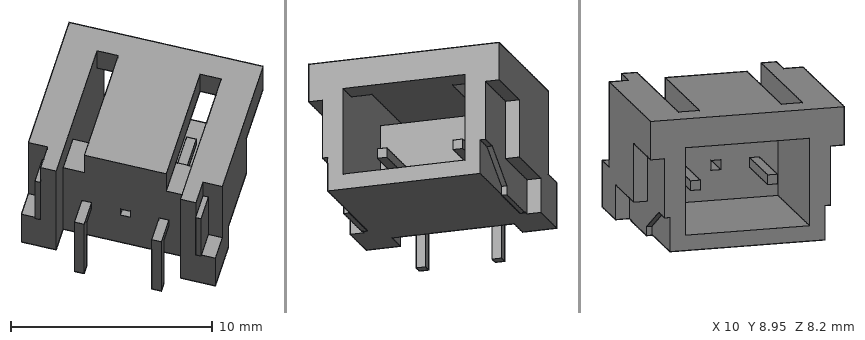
import cadquery as cq


width = 10.0
depth = 8.88
height = 6.8
wing_depth = 1.3
wing_inner_x = 3.2
front_wall = 1.8
floor_thickness = 0.8

slot_inner_x = 2.11
slot_end_y = 7.58
roof_thickness = 1.49

recess_floor_x = 4.0
wing_ledge_z = 2.4
window_tall_length = 3.1
window_tall_z = 4.82
window_low_length = 6.4
window_low_z = 1.8

plate_thickness = 0.28
plate_top_z = 5.62
plate_drop = 0.04
plate_rear_z = 1.77
plate_slope_start = 1.05
plate_slope_end = 3.3
plate_slope_end_z = 0.43
plate_foot_end = 6.12

front_overhang = 0.07
pin_x = 1.99
pin_size = 0.5
pin_leg_depth = 0.52
pin_center_z = 2.61
pin_tail = 1.4
pin_inner_y = 6.4
vent_size = 0.51

SIDES = (-1, 1)
front_wall_y = wing_depth
cavity_start_y = front_wall_y + front_wall


def block(x_range, y_range, z_range):
    """Box spanning the given ranges; the X limits may be in either order."""
    x_low, x_high = sorted(x_range)
    y_low, y_high = y_range
    z_low, z_high = z_range
    size = (x_high - x_low, y_high - y_low, z_high - z_low)
    return cq.Workplane("XY").box(*size, centered=False).translate((x_low, y_low, z_low))


def make_shell():
    """Outer block with a front opening between the wings and a rear cavity."""
    shell = block((-width / 2, width / 2), (0, depth), (0, height))
    wing_gap = block((-wing_inner_x, wing_inner_x), (0, front_wall_y), (0, height))
    cavity = block(
        (-wing_inner_x, wing_inner_x),
        (cavity_start_y, depth),
        (floor_thickness, height - roof_thickness),
    )
    vent = block(
        (-vent_size / 2, vent_size / 2),
        (front_wall_y, cavity_start_y),
        (pin_center_z - vent_size / 2, pin_center_z + vent_size / 2),
    )
    return shell.cut(wing_gap).cut(cavity).cut(vent)


def roof_slot(side):
    """Slot through the roof that also notches the top of the front wall."""
    return block(
        (side * slot_inner_x, side * wing_inner_x),
        (front_wall_y, slot_end_y),
        (height - roof_thickness, height),
    )


def side_recess(side):
    """Stepped rear window and front wing pocket, cut to a common depth."""
    x_range = (side * recess_floor_x, side * width / 2)
    tall_window = block(x_range, (depth - window_tall_length, depth), (0, window_tall_z))
    low_window = block(x_range, (depth - window_low_length, depth), (0, window_low_z))
    wing_pocket = block(x_range, (0, wing_depth), (wing_ledge_z, height))
    return tall_window.union(low_window).union(wing_pocket)


def retaining_plate(side):
    """Flat plate lying on the recess floor, running through the side wall."""
    foot_front_y = depth - plate_foot_end
    slope_end_y = depth - plate_slope_end
    outline = [
        (-front_overhang, wing_ledge_z),
        (-front_overhang, plate_top_z),
        (wing_depth, plate_top_z),
        (wing_depth, window_tall_z),
        (depth, window_tall_z),
        (depth, plate_rear_z),
        (depth - plate_slope_start, plate_rear_z),
        (slope_end_y, plate_slope_end_z),
        (slope_end_y, -plate_drop),
        (foot_front_y, -plate_drop),
        (foot_front_y, 0),
        (depth - window_low_length, 0),
        (depth - window_low_length, wing_ledge_z),
    ]
    plate = cq.Workplane("YZ").polyline(outline).close().extrude(plate_thickness)
    start_x = recess_floor_x if side > 0 else -recess_floor_x - plate_thickness
    return plate.translate((start_x, 0, 0))


def bent_pin(side):
    """Square pin running forward from the cavity, then down past the housing."""
    x_range = (side * pin_x - pin_size / 2, side * pin_x + pin_size / 2)
    pin_top_z = pin_center_z + pin_size / 2
    contact = block(x_range, (-front_overhang, pin_inner_y), (pin_top_z - pin_size, pin_top_z))
    leg = block(x_range, (-front_overhang, pin_leg_depth - front_overhang), (-pin_tail, pin_top_z))
    return contact.union(leg)


result = make_shell()
for side in SIDES:
    result = result.cut(roof_slot(side)).cut(side_recess(side))
    result = result.union(retaining_plate(side)).union(bent_pin(side))